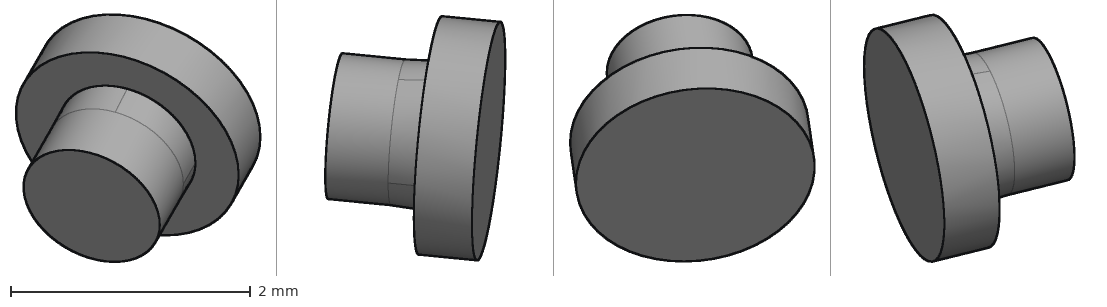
import cadquery as cq

disc_diameter = 2.0
total_length = 1.29
pin_length = 0.8
pin_diameter = 1.225
root_height = 1.28
flare_length = 0.27

disc_thickness = total_length - pin_length
pin_radius = pin_diameter / 2

disc = cq.Workplane("XZ").circle(disc_diameter / 2).extrude(-disc_thickness)

pin = cq.Workplane("XZ").circle(pin_radius).extrude(pin_length)

flare = (
    cq.Workplane("XZ")
    .ellipse(pin_radius, root_height / 2)
    .workplane(offset=flare_length)
    .circle(pin_radius)
    .loft(ruled=True)
)

result = disc.union(pin).union(flare)